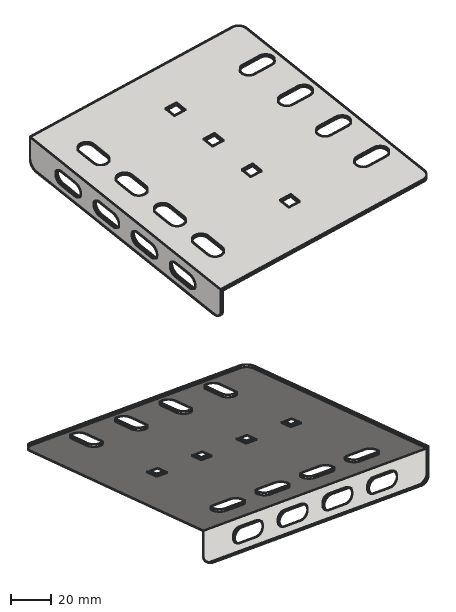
import cadquery as cq

width = 150.0
depth = 136.0
height = 20.0
thickness = 1.5
corner_radius = 5.0

column_count = 4
column_pitch = 30.0
slot_length = 20.0
slot_width = 9.0
square_size = 7.0

front_slot_row = 16.5
row_spacing = 53.0
square_row = front_slot_row + row_spacing
rear_slot_row = square_row + row_spacing
flange_slot_row = 11.0

column_positions = [(i - (column_count - 1) / 2) * column_pitch for i in range(column_count)]


def make_plate():
    """Horizontal plate with its front face at Y = 0, top at Z = 0 and rounded rear corners."""
    plate = cq.Workplane("XY").box(width, depth, thickness, centered=(True, False, False))
    plate = plate.translate((0, 0, -thickness))
    return plate.edges("|Z and >Y").fillet(corner_radius)


def make_flange():
    """Vertical flange hanging from the front edge, with rounded lower corners."""
    flange = cq.Workplane("XY").box(width, thickness, height, centered=(True, False, False))
    flange = flange.translate((0, 0, -height))
    return flange.edges("|Y and <Z").fillet(corner_radius)


def plate_row(y):
    """Sketch points for one row of openings across the plate."""
    return cq.Workplane("XY").pushPoints([(x, y) for x in column_positions])


def cut_plate_openings(body):
    """Lengthwise rear slots, square holes and crosswise front slots through the plate."""
    rear_slots = plate_row(rear_slot_row).slot2D(slot_length, slot_width, 90).extrude(-thickness)
    squares = plate_row(square_row).rect(square_size, square_size).extrude(-thickness)
    front_slots = plate_row(front_slot_row).slot2D(slot_length, slot_width).extrude(-thickness)
    return body.cut(rear_slots).cut(squares).cut(front_slots)


def cut_flange_slots(body):
    """Crosswise slots through the flange."""
    points = [(x, -flange_slot_row) for x in column_positions]
    slots = cq.Workplane("XZ").pushPoints(points).slot2D(slot_length, slot_width).extrude(-thickness)
    return body.cut(slots)


bracket = make_plate().union(make_flange())
bracket = cut_plate_openings(bracket)
result = cut_flange_slots(bracket)